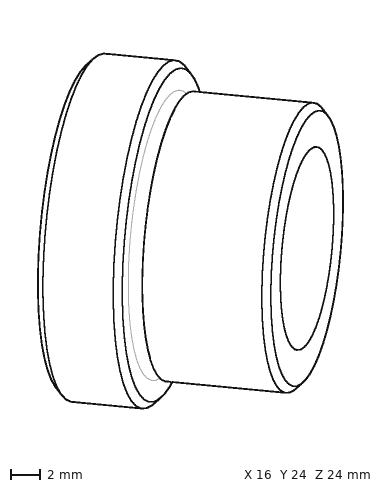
import cadquery as cq

total_length = 16.0
flange_length = 6.0
flange_diameter = 24.0
body_diameter = 20.0
bore_diameter = 14.0
edge_chamfer = 0.5
bore_chamfer = 0.2
groove_radius = 0.5

flange_radius = flange_diameter / 2
body_radius = body_diameter / 2
bore_radius = bore_diameter / 2
groove_center_x = flange_length + groove_radius
groove_end_x = flange_length + 2 * groove_radius

profile = (
    cq.Workplane("XY")
    .moveTo(0, bore_radius + bore_chamfer)
    .lineTo(0, flange_radius - edge_chamfer)
    .lineTo(edge_chamfer, flange_radius)
    .lineTo(flange_length - edge_chamfer, flange_radius)
    .lineTo(flange_length, flange_radius - edge_chamfer)
    .lineTo(flange_length, body_radius)
    .threePointArc((groove_center_x, body_radius - groove_radius), (groove_end_x, body_radius))
    .lineTo(total_length - edge_chamfer, body_radius)
    .lineTo(total_length, body_radius - edge_chamfer)
    .lineTo(total_length, bore_radius)
    .lineTo(bore_chamfer, bore_radius)
    .close()
)

result = profile.revolve(360, (0, 0, 0), (1, 0, 0))